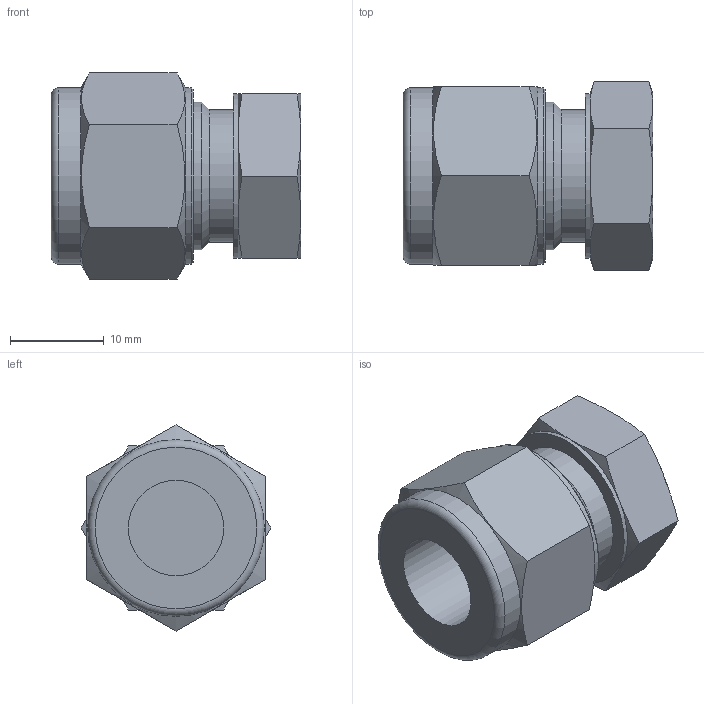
import cadquery as cq
import math


COLLAR_DIAMETER = 18.8
COLLAR_FILLET = 0.8
COLLAR_END = 3.15
NUT_ACROSS_FLATS = 19.0
NUT_HEX_END = 14.3
NUT_CHAMFER_ANGLE = 30.0
FLANGE_END = 15.1
FLANGE_CHAMFER = 0.2

SHOULDER_DIAMETER = 15.74
NECK_DIAMETER = 14.15
SHOULDER_BEVEL = (SHOULDER_DIAMETER - NECK_DIAMETER) / 2
SHOULDER_END = 16.8
NECK_END = 19.4
BODY_ACROSS_FLATS = 17.5
WASHER_END = 19.9
BODY_CHAMFER_ANGLE = 17.0
TOTAL_LENGTH = 26.56

BORE_DIAMETER = 10.15
BORE_DEPTH = NUT_HEX_END


def cylinder(diameter, start, end):
    """Round bar along X between two positions."""
    return cq.Workplane("YZ", origin=(start, 0, 0)).circle(diameter / 2).extrude(end - start)


def chamfered_hexagon(across_flats, chamfer_diameter, chamfer_angle, start, end, turn):
    """Hexagonal bar along X with both ends turned to a cone.

    The cone has chamfer_diameter at the end face; turn rotates the corners
    about X, and at 0 two corners lie on the Y axis.
    """
    corner_radius = across_flats / math.sqrt(3)
    face_radius = chamfer_diameter / 2
    chamfer_length = (corner_radius - face_radius) * math.tan(math.radians(chamfer_angle))
    prism = (
        cq.Workplane("YZ", origin=(start, 0, 0))
        .polygon(6, 2 * corner_radius)
        .extrude(end - start)
        .rotate((0, 0, 0), (1, 0, 0), turn)
    )
    envelope = (
        cq.Workplane("XY")
        .moveTo(start, 0)
        .lineTo(start, face_radius)
        .lineTo(start + chamfer_length, corner_radius)
        .lineTo(end - chamfer_length, corner_radius)
        .lineTo(end, face_radius)
        .lineTo(end, 0)
        .close()
        .revolve(360, (0, 0, 0), (1, 0, 0))
    )
    return prism.intersect(envelope)


def compression_nut():
    collar = cylinder(COLLAR_DIAMETER, 0, FLANGE_END)
    collar = collar.faces("<X").edges().fillet(COLLAR_FILLET)
    collar = collar.faces(">X").edges().chamfer(FLANGE_CHAMFER)
    hexagon = chamfered_hexagon(
        NUT_ACROSS_FLATS, COLLAR_DIAMETER, NUT_CHAMFER_ANGLE, COLLAR_END, NUT_HEX_END, turn=90
    )
    return collar.union(hexagon)


def body():
    shoulder = cylinder(SHOULDER_DIAMETER, NUT_HEX_END, SHOULDER_END)
    shoulder = shoulder.faces(">X").edges().chamfer(SHOULDER_BEVEL)
    neck = cylinder(NECK_DIAMETER, NUT_HEX_END, NECK_END)
    washer = cylinder(BODY_ACROSS_FLATS, NECK_END, WASHER_END)
    hexagon = chamfered_hexagon(
        BODY_ACROSS_FLATS, BODY_ACROSS_FLATS, BODY_CHAMFER_ANGLE, WASHER_END, TOTAL_LENGTH, turn=0
    )
    return shoulder.union(neck).union(washer).union(hexagon)


bore = cylinder(BORE_DIAMETER, 0, BORE_DEPTH)
result = compression_nut().union(body()).cut(bore)